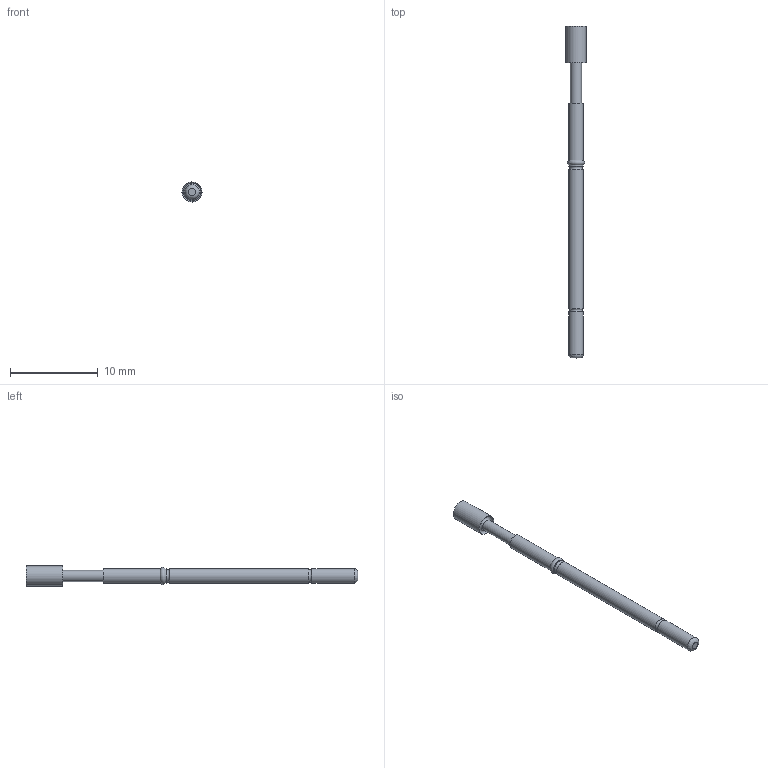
import cadquery as cq

TOTAL_LENGTH = 37.8

HEAD_DIAMETER = 2.3
HEAD_LENGTH = 4.2
RECESS_DIAMETER = 2.24
RECESS_DEPTH = 0.25

PLUNGER_DIAMETER = 1.27
PLUNGER_LENGTH = 4.6

BARREL_DIAMETER = 1.67
TAIL_ROUNDING = 0.42

COLLAR_START = 22.0
COLLAR_DIAMETER = 1.95
COLLAR_WIDTH = 0.5
COLLAR_TO_GROOVE = 0.16

GROOVE_DIAMETER = 1.4
GROOVE_WIDTH = 0.38
TAIL_GROOVE_START = 5.24

HEAD_START = TOTAL_LENGTH - HEAD_LENGTH
BARREL_LENGTH = HEAD_START - PLUNGER_LENGTH
COLLAR_GROOVE_START = COLLAR_START - COLLAR_TO_GROOVE - GROOVE_WIDTH


def cylinder(diameter, start, length):
    """Solid cylinder on the Y axis reaching from start towards +Y."""
    plane = cq.Plane(origin=(0, start, 0), xDir=(1, 0, 0), normal=(0, 1, 0))
    return cq.Workplane(plane).circle(diameter / 2).extrude(length)


def barrel():
    """Long solid body with a rounded tail end."""
    return cylinder(BARREL_DIAMETER, 0, BARREL_LENGTH).faces("<Y").edges().fillet(TAIL_ROUNDING)


def ring(arc_start, arc_crest, arc_end):
    """Solid ring around the Y axis, its section bounded by an arc and the chord closing it."""
    section = cq.Workplane("XY").moveTo(*arc_start).threePointArc(arc_crest, arc_end).close()
    return section.revolve(360, (0, 0, 0), (0, 1, 0))


def barrel_ring(start, width, crest_diameter):
    """Ring on the barrel surface: a bead if the crest is wider than the barrel, else a groove."""
    barrel_radius = BARREL_DIAMETER / 2
    return ring(
        (barrel_radius, start),
        (crest_diameter / 2, start + width / 2),
        (barrel_radius, start + width),
    )


def head_recess():
    """Annular channel in the underside of the head, from the plunger almost out to the rim."""
    inner_radius = PLUNGER_DIAMETER / 2
    outer_radius = RECESS_DIAMETER / 2
    middle_radius = (inner_radius + outer_radius) / 2
    return ring(
        (inner_radius, HEAD_START),
        (middle_radius, HEAD_START + RECESS_DEPTH),
        (outer_radius, HEAD_START),
    )


plunger = cylinder(PLUNGER_DIAMETER, BARREL_LENGTH, PLUNGER_LENGTH)
head = cylinder(HEAD_DIAMETER, HEAD_START, HEAD_LENGTH).cut(head_recess())
collar = barrel_ring(COLLAR_START, COLLAR_WIDTH, COLLAR_DIAMETER)

result = barrel().union(collar).union(plunger).union(head)
for groove_start in (TAIL_GROOVE_START, COLLAR_GROOVE_START):
    result = result.cut(barrel_ring(groove_start, GROOVE_WIDTH, GROOVE_DIAMETER))